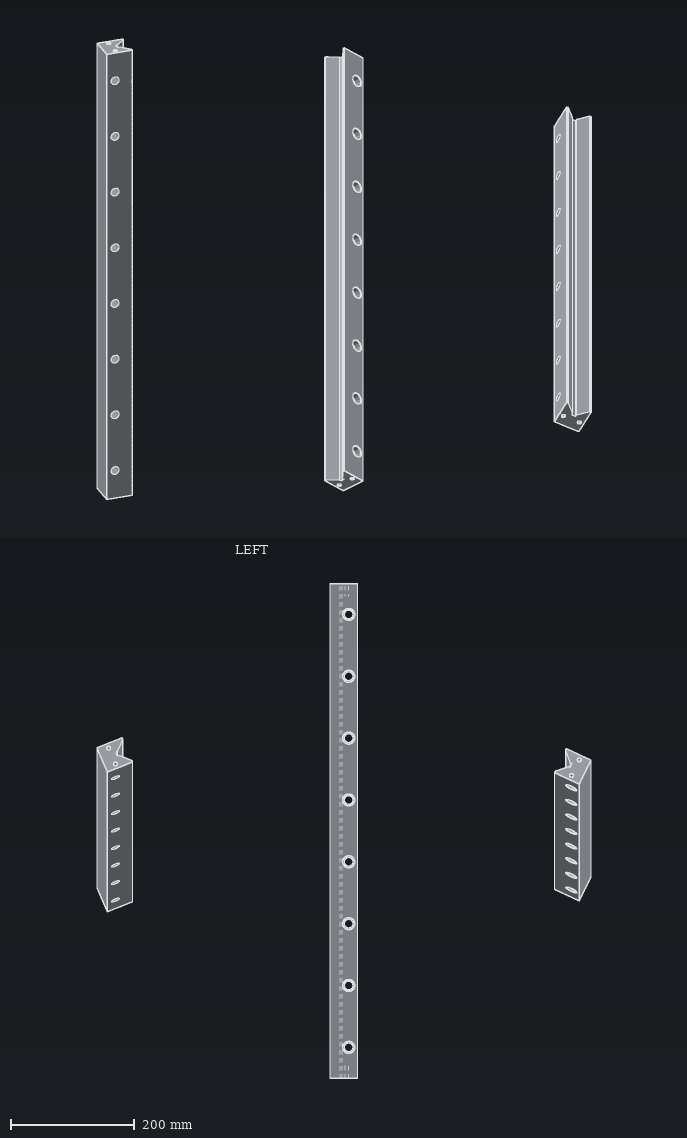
import cadquery as cq

length = 800.0
width = 45.0
height = 45.0

edge_chamfer = 0.5

groove_mouth = 39.0
relief_width = 6.8
groove_depth = 19.0

hole_count = 8
hole_pitch = length / hole_count
hole_height = 14.0
hole_diameter = 14.0
counterbore_diameter = 18.0
counterbore_depth = 13.0
counterbore_chamfer = 1.0

end_hole_spacing = 29.0
end_hole_height = 18.0
end_hole_diameter = 5.2
end_hole_chamfer = 1.0
end_hole_depth = 20.0


def rail_blank():
    """Rectangular bar with its -Y face on Y = 0 and a V-groove in the +Y face."""
    groove_bottom = height - groove_depth
    relief_top = height - (groove_mouth - relief_width) / 2
    outline = [
        (-width / 2, 0),
        (width / 2, 0),
        (width / 2, height),
        (groove_mouth / 2, height),
        (relief_width / 2, relief_top),
        (relief_width / 2, groove_bottom),
        (-relief_width / 2, groove_bottom),
        (-relief_width / 2, relief_top),
        (-groove_mouth / 2, height),
        (-width / 2, height),
    ]
    rail = cq.Workplane("XY").polyline(outline).close().extrude(length)
    return rail.faces("<Y or <X or >X or >Y").edges().chamfer(edge_chamfer)


def chamfered_hole(entry, diameter, depth, rim_chamfer):
    """Round cutter going into the part from the entry plane, widened by a chamfer at the rim."""
    hole = entry.circle(diameter / 2).extrude(-depth)
    rim_radius = diameter / 2 + rim_chamfer
    rim = entry.circle(rim_radius).extrude(-rim_chamfer, taper=45)
    return hole.union(rim)


def cut_mounting_holes(rail):
    for index in range(hole_count):
        center = (-width / 2, hole_height, (index + 0.5) * hole_pitch)
        entry = cq.Workplane(cq.Plane(center, normal=(-1, 0, 0)))
        rail = rail.cut(entry.circle(hole_diameter / 2).extrude(-width))
        rail = rail.cut(
            chamfered_hole(entry, counterbore_diameter, counterbore_depth, counterbore_chamfer)
        )
    return rail


def cut_end_holes(rail):
    for x in (-end_hole_spacing / 2, end_hole_spacing / 2):
        for z, outward in ((0, -1), (length, 1)):
            center = (x, end_hole_height, z)
            entry = cq.Workplane(cq.Plane(center, normal=(0, 0, outward)))
            rail = rail.cut(
                chamfered_hole(entry, end_hole_diameter, end_hole_depth, end_hole_chamfer)
            )
    return rail


result = cut_end_holes(cut_mounting_holes(rail_blank()))